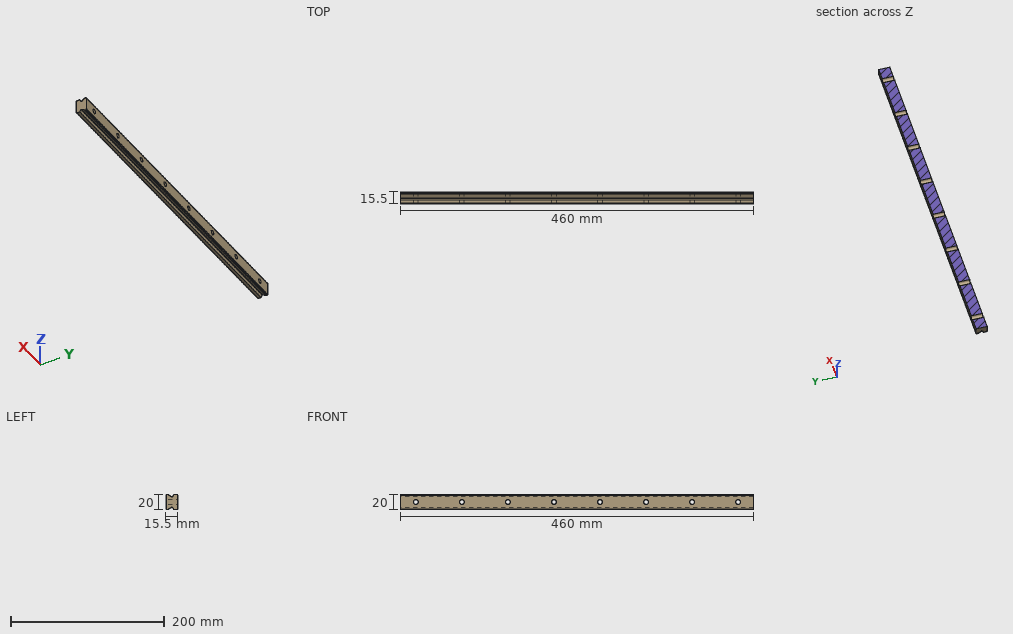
import cadquery as cq
import math

LENGTH = 460.0
HEIGHT = 15.5
WIDTH = 20.0

HEAD_CHAMFER = 0.95
BASE_CHAMFER = 1.18

GROOVE_DEPTH = 3.08
FLANGE_TOP_LEVEL = 5.28
WALL_BREAK_LEVEL = 6.88
WALL_BREAK_DEPTH = 2.62
FLOOR_START_LEVEL = 7.31
FLOOR_END_LEVEL = 8.11

RACEWAY_ANGLE = 30.5
RACEWAY_END_LEVEL = 11.63
LIP_LEVEL = 12.89

HOLE_DIAMETER = 6.0
HOLE_PITCH = 60.0
HOLE_COUNT = 8


def rail_body():
    """Extrude the grooved cross-section, symmetric about Z = 0."""
    base = -HEIGHT / 2
    head = HEIGHT / 2
    side = WIDTH / 2
    floor = side - GROOVE_DEPTH
    raceway_rise = (RACEWAY_END_LEVEL - FLOOR_END_LEVEL) * math.tan(math.radians(RACEWAY_ANGLE))

    upper_half = [
        (base, side - BASE_CHAMFER),
        (base + BASE_CHAMFER, side),
        (base + FLANGE_TOP_LEVEL, side),
        (base + WALL_BREAK_LEVEL, side - WALL_BREAK_DEPTH),
        (base + FLOOR_START_LEVEL, floor),
        (base + FLOOR_END_LEVEL, floor),
        (base + RACEWAY_END_LEVEL, floor + raceway_rise),
        (base + LIP_LEVEL, side),
        (head - HEAD_CHAMFER, side),
        (head, side - HEAD_CHAMFER),
    ]
    lower_half = [(y, -z) for y, z in reversed(upper_half)]
    return (
        cq.Workplane("YZ")
        .polyline(upper_half + lower_half)
        .close()
        .extrude(LENGTH / 2, both=True)
    )


def mounting_holes():
    """Row of evenly spaced cylinders along X, long enough to pass right through the rail."""
    return (
        cq.Workplane("XZ")
        .rarray(HOLE_PITCH, 1, HOLE_COUNT, 1)
        .circle(HOLE_DIAMETER / 2)
        .extrude(HEIGHT, both=True)
    )


result = rail_body().cut(mounting_holes())